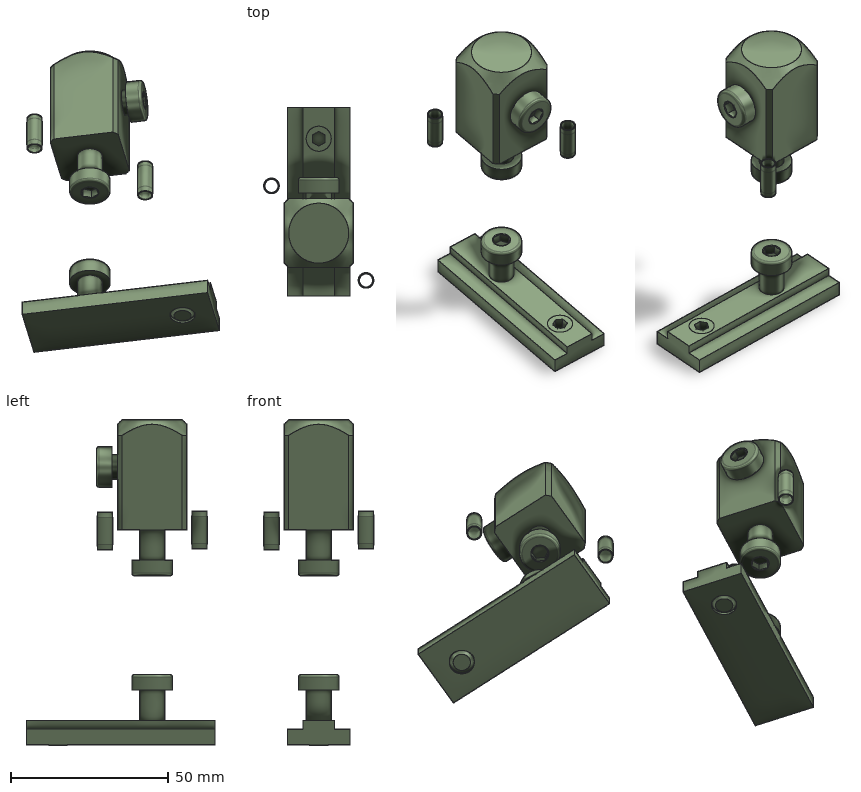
import cadquery as cq
import math

HEX_SIDES = 6

BAR_LENGTH = 60.0
BAR_WIDTH = 20.0
BAR_FLANGE_HEIGHT = 5.0
BAR_HEIGHT = 7.8
BAR_RIB_WIDTH = 10.0

BLOCK_WIDTH = 22.0
BLOCK_HEIGHT = 35.0
BLOCK_CORNER_CHAMFER = 1.5
BLOCK_TOP_DIAMETER = 19.1
SIDE_SCREW_DROP = 15.0

THREAD_DIAMETER = 8.0
THREAD_LENGTH = 16.0
HEAD_DIAMETER = 13.0
HEAD_HEIGHT = 5.0
HEAD_ROUND = 0.8
HEAD_SOCKET_FLATS = 5.0
HEAD_SOCKET_DEPTH = 3.0
COUNTERSINK_ANGLE = 120
SCREW_EXPOSED = 9.6
SIDE_SCREW_EXPOSED = 1.8

SET_PROTRUSION = 0.26
SET_POINT_DIAMETER = 5.5
SET_SOCKET_FLATS = 4.0
SET_SOCKET_DEPTH = 4.0

SLEEVE_DIAMETER = 5.0
SLEEVE_END_DIAMETER = 4.8
SLEEVE_BORE = 4.1
SLEEVE_LENGTH = 12.0
SLEEVE_TAPER_LENGTH = 1.8
SLEEVE_OFFSET = 15.0
LEFT_SLEEVE_BASE = 62.0
RIGHT_SLEEVE_BASE = 62.3

OVERALL_HEIGHT = 103.6
MAIN_AXIS_Y = -BAR_LENGTH / 6
SET_SCREW_Y = BAR_LENGTH / 3
BLOCK_TOP = OVERALL_HEIGHT - SET_PROTRUSION
BLOCK_BOTTOM = BLOCK_TOP - BLOCK_HEIGHT
BLOCK_BACK_Y = MAIN_AXIS_Y + BLOCK_WIDTH / 2

BAR_SCREW_SEAT = cq.Plane((0, MAIN_AXIS_Y, BAR_HEIGHT + SCREW_EXPOSED), (1, 0, 0), (0, 0, 1))
BLOCK_SCREW_SEAT = cq.Plane((0, MAIN_AXIS_Y, BLOCK_BOTTOM - SCREW_EXPOSED), (1, 0, 0), (0, 0, -1))
SIDE_SCREW_SEAT = cq.Plane(
    (0, BLOCK_BACK_Y + SIDE_SCREW_EXPOSED, BLOCK_TOP - SIDE_SCREW_DROP), (1, 0, 0), (0, 1, 0)
)


def screw_shank(seat):
    return cq.Workplane(seat).circle(THREAD_DIAMETER / 2).extrude(-THREAD_LENGTH)


def hex_corner_diameter(flats):
    """Distance across the corners of a hexagon, from the distance across its flats."""
    return flats / math.cos(math.pi / HEX_SIDES)


def make_cap_screw(seat):
    head = (
        cq.Workplane(seat)
        .circle(HEAD_DIAMETER / 2)
        .extrude(HEAD_HEIGHT)
        .faces(cq.selectors.DirectionMinMaxSelector(seat.zDir, True))
        .edges()
        .fillet(HEAD_ROUND)
    )
    head_top = cq.Workplane(seat).workplane(offset=HEAD_HEIGHT)
    corner_diameter = hex_corner_diameter(HEAD_SOCKET_FLATS)
    socket = head_top.polygon(HEX_SIDES, corner_diameter).extrude(-HEAD_SOCKET_DEPTH)
    corner_radius = corner_diameter / 2
    cone_depth = corner_radius / math.tan(math.radians(COUNTERSINK_ANGLE / 2))
    countersink = cq.Solid.makeCone(corner_radius, 0, cone_depth, head_top.plane.origin, -seat.zDir)
    return head.union(screw_shank(seat)).cut(socket).cut(countersink)


def make_bar():
    flange = cq.Workplane("XY").box(BAR_WIDTH, BAR_LENGTH, BAR_FLANGE_HEIGHT, centered=(True, True, False))
    rib = cq.Workplane("XY").box(BAR_RIB_WIDTH, BAR_LENGTH, BAR_HEIGHT, centered=(True, True, False))
    set_screw_hole = (
        cq.Workplane("XY").center(0, SET_SCREW_Y).circle(THREAD_DIAMETER / 2).extrude(BAR_HEIGHT)
    )
    return flange.union(rib).cut(set_screw_hole).cut(screw_shank(BAR_SCREW_SEAT))


def make_block():
    prism = (
        cq.Workplane("XY", origin=(0, MAIN_AXIS_Y, BLOCK_BOTTOM))
        .rect(BLOCK_WIDTH, BLOCK_WIDTH)
        .extrude(BLOCK_HEIGHT)
        .edges("|Z")
        .chamfer(BLOCK_CORNER_CHAMFER)
    )
    top_radius = BLOCK_TOP_DIAMETER / 2
    crown = (
        cq.Workplane("XZ", origin=(0, MAIN_AXIS_Y, BLOCK_BOTTOM))
        .polyline(
            [(0, 0), (top_radius + BLOCK_HEIGHT, 0), (top_radius, BLOCK_HEIGHT), (0, BLOCK_HEIGHT)]
        )
        .close()
        .revolve(axisStart=(0, 0), axisEnd=(0, 1))
    )
    return prism.intersect(crown).cut(screw_shank(BLOCK_SCREW_SEAT)).cut(screw_shank(SIDE_SCREW_SEAT))


def make_set_screw():
    """Flush with the top of the bar, with a chamfered point just below its underside."""
    body = (
        cq.Workplane("XY", origin=(0, SET_SCREW_Y, -SET_PROTRUSION))
        .circle(THREAD_DIAMETER / 2)
        .extrude(BAR_HEIGHT + SET_PROTRUSION)
        .faces("<Z")
        .chamfer((THREAD_DIAMETER - SET_POINT_DIAMETER) / 2)
    )
    socket = (
        cq.Workplane("XY", origin=(0, SET_SCREW_Y, BAR_HEIGHT))
        .transformed(rotate=(0, 0, 90))
        .polygon(HEX_SIDES, hex_corner_diameter(SET_SOCKET_FLATS))
        .extrude(-SET_SOCKET_DEPTH)
    )
    return body.cut(socket)


def make_sleeve(x, y, base):
    end_radius = SLEEVE_END_DIAMETER / 2
    radius = SLEEVE_DIAMETER / 2
    bore_radius = SLEEVE_BORE / 2
    return (
        cq.Workplane("XZ", origin=(x, y, base))
        .polyline(
            [
                (bore_radius, 0),
                (end_radius, 0),
                (radius, SLEEVE_TAPER_LENGTH),
                (radius, SLEEVE_LENGTH - SLEEVE_TAPER_LENGTH),
                (end_radius, SLEEVE_LENGTH),
                (bore_radius, SLEEVE_LENGTH),
            ]
        )
        .close()
        .revolve(axisStart=(0, 0), axisEnd=(0, 1))
    )


bar = make_bar()
block = make_block()
set_screw = make_set_screw()
cap_screws = [make_cap_screw(seat) for seat in (BAR_SCREW_SEAT, BLOCK_SCREW_SEAT, SIDE_SCREW_SEAT)]
sleeves = [
    make_sleeve(side * SLEEVE_OFFSET, MAIN_AXIS_Y - side * SLEEVE_OFFSET, base)
    for side, base in ((-1, LEFT_SLEEVE_BASE), (1, RIGHT_SLEEVE_BASE))
]

result = cq.Compound.makeCompound(
    [
        bar.val(),
        block.val(),
        set_screw.val(),
        *[screw.val() for screw in cap_screws],
        *[sleeve.val() for sleeve in sleeves],
    ]
)